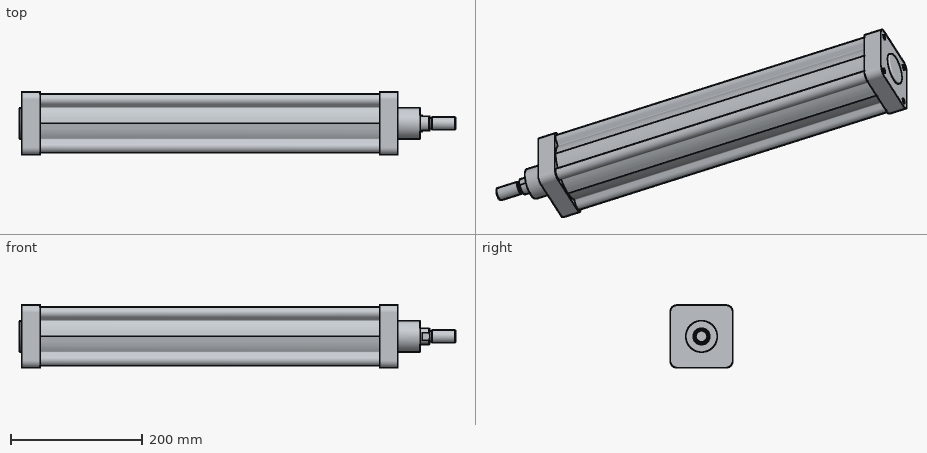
import cadquery as cq
import math


cap_side = 96
cap_corner_radius = 11
cap_length = 28

boss_radius = 24
boss_fillet = 2
rear_boss_length = 3.5
front_boss_length = 34

lobe_offset = 36
screw_hole_radius = 4
screw_hole_depth = 5
screw_socket_radius = 3
screw_socket_depth = 9

barrel_length = 518.5
barrel_radius = 44
ridge_height = 45
lobe_radius = ridge_height - lobe_offset
web_fillet = 1.5

rear_cap_x = rear_boss_length
barrel_start_x = rear_cap_x + cap_length
front_cap_x = barrel_start_x + barrel_length
front_face_x = front_cap_x + cap_length
rod_start_x = front_face_x + front_boss_length

rod_radius = 12.5
rod_collar_length = 3
rod_flat_width = 22
rod_shoulder_x = 626.7
rod_shoulder_chamfer = 1.5
relief_radius = 8.5
relief_length = 4
thread_radius = 10
thread_chamfer = 1.5
rod_end_x = 666


def plane_at(x):
    """Workplane facing +X whose local axes are Y and Z."""
    return cq.Workplane("YZ", origin=(x, 0, 0))


def turned(shape, angle):
    """The shape turned about the cylinder axis."""
    return shape.rotate((0, 0, 0), (1, 0, 0), angle)


def cap_with_boss(cap_x, boss_x, boss_end, boss_length):
    """Square cap with rounded corners, carrying a round boss with a rounded rim."""
    block = plane_at(cap_x).rect(cap_side, cap_side).extrude(cap_length)
    block = block.edges("|X").fillet(cap_corner_radius)
    boss = plane_at(boss_x).circle(boss_radius).extrude(boss_length)
    return block.union(boss.faces(boss_end).edges().fillet(boss_fillet))


def make_rear_cap():
    cap = cap_with_boss(rear_cap_x, 0, "<X", rear_boss_length)
    spacing = 2 * lobe_offset
    centers = plane_at(rear_cap_x).rect(spacing, spacing, forConstruction=True).vertices()
    holes = centers.circle(screw_hole_radius).extrude(screw_hole_depth)
    sockets = centers.circle(screw_socket_radius).extrude(screw_socket_depth)
    return cap.cut(holes).cut(sockets)


def make_front_cap():
    return cap_with_boss(front_cap_x, front_face_x, ">X", front_boss_length)


def make_ridge():
    """Two flats tangent to the round bar, meeting in a line at the ridge height."""
    tangent_angle = math.acos(barrel_radius / ridge_height)
    tangent_y = barrel_radius * math.cos(tangent_angle)
    tangent_z = barrel_radius * math.sin(tangent_angle)
    points = [(0, 0), (tangent_y, -tangent_z), (ridge_height, 0), (tangent_y, tangent_z)]
    return plane_at(barrel_start_x).polyline(points).close().extrude(barrel_length)


def make_lobe():
    """Round bar joined to the barrel axis by a straight web of the same width, along +Y."""
    lobe_distance = lobe_offset * math.sqrt(2)
    return (
        plane_at(barrel_start_x)
        .moveTo(0, -lobe_radius)
        .lineTo(lobe_distance, -lobe_radius)
        .threePointArc((lobe_distance + lobe_radius, 0), (lobe_distance, lobe_radius))
        .lineTo(0, lobe_radius)
        .close()
        .extrude(barrel_length)
    )


def is_web_corner(edge):
    """True for the inner corners where a web side meets the round bar."""
    center = edge.Center()
    on_bar = math.isclose(math.hypot(center.y, center.z), barrel_radius, abs_tol=0.01)
    near_diagonal = min(abs(center.y), abs(center.z)) > barrel_radius / 2
    return on_bar and near_diagonal


def make_barrel():
    barrel = plane_at(barrel_start_x).circle(barrel_radius).extrude(barrel_length)
    for angle in (0, 90, 180, 270):
        barrel = barrel.union(turned(make_ridge(), angle))
        barrel = barrel.union(turned(make_lobe(), angle + 45))
    return barrel.edges("|X").filter(is_web_corner).fillet(web_fillet)


def make_rod():
    relief_end_x = rod_shoulder_x + relief_length
    half_profile = [
        (rod_start_x, 0),
        (rod_start_x, rod_radius),
        (rod_shoulder_x - rod_shoulder_chamfer, rod_radius),
        (rod_shoulder_x, rod_radius - rod_shoulder_chamfer),
        (rod_shoulder_x, relief_radius),
        (relief_end_x - (thread_radius - relief_radius), relief_radius),
        (relief_end_x, thread_radius),
        (rod_end_x - thread_chamfer, thread_radius),
        (rod_end_x, thread_radius - thread_chamfer),
        (rod_end_x, 0),
    ]
    rod = cq.Workplane("XY").polyline(half_profile).close().revolve(360, (0, 0, 0), (1, 0, 0))
    flat_start_x = rod_start_x + rod_collar_length
    flat_length = rod_shoulder_x - flat_start_x
    flat_cut = (
        plane_at(flat_start_x)
        .center(rod_flat_width / 2 + rod_radius / 2, 0)
        .rect(rod_radius, 2 * rod_radius)
        .extrude(flat_length)
    )
    for angle in (0, 180):
        rod = rod.cut(turned(flat_cut, angle))
    return rod


rear_cap = make_rear_cap()
barrel = make_barrel()
front_cap = make_front_cap()
rod = make_rod()

result = cq.Compound.makeCompound([rear_cap.val(), barrel.val(), front_cap.val(), rod.val()])